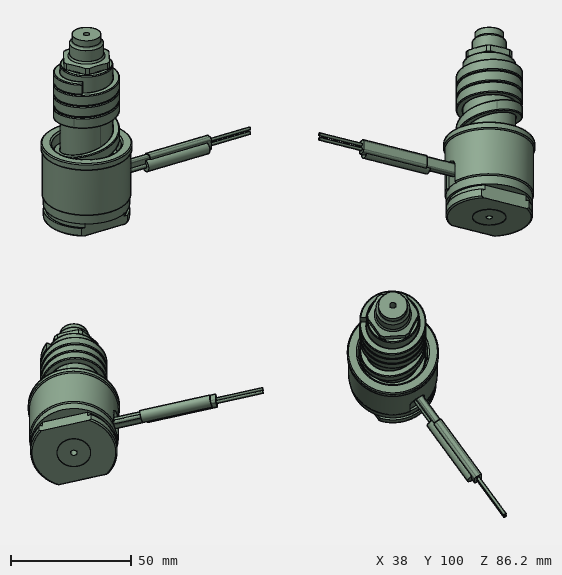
import cadquery as cq
import math

foot_bottom = 0.2
groove_bottom = 4.1
groove_top = 6.3
body_bottom = 10.3
flange_bottom = 31.8
flange_top = 35.1
shaft_top = 72.2
nut_bottom = 72.7
nut_top = 76.1
neck_bottom = 77.0
neck_top = 82.1
tip_bottom = 83.0
tip_top = 86.2

pad_radius = 7.0
foot_radius = 18.0
groove_radius = 17.1
body_radius = 18.5
flange_radius = 19.0
bore_radius = 14.5
shaft_radius = 11.0
relief_radius = 9.0
neck_radius = 7.1
collar_radius = 7.7
tip_radius = 6.0
hole_radius = 1.3

foot_chamfer = 0.6
flange_chamfer = 0.5
bore_chamfer = 0.7
shaft_chamfer = 0.4
tip_break = 0.3

cup_floor = 9.0
flat_half_width = 14.1
slot_half_width = 3.6
slot_top = 21.6
slot_floor = 17.0
lead_embed = 1.0

nut_across_flats = 19.0
nut_corner_radius = 10.5
nut_rim_drop = 0.6

spring_outer_radius = 13.8
spring_overlap = 0.1
wire_height = 5.0
wire_chamfer = 0.4
close_pitch = 5.3
open_pitch = 22.0
seam_direction = -54.6
seam_height = 51.1
close_sweep = 1094.6
transition_sweep = 140.0
open_sweep = 208.0
points_per_turn = 24

lead_x = -1.4
lead_z = 17.3
lead_flat_x = 1.7
lead_flat_z = 3.9
cable_round = 0.6
sleeve_round = 1.0
sleeve_start = 31.0
sleeve_length = 30.0
wire_end = 81.0
lead_wire_radius = 0.65
lead_wire_z = 17.2
lead_wire_spacing = 2.1
second_x = -0.1
second_z = 15.9
second_cable_radius = 1.0
second_sleeve_radius = 2.6
second_sleeve_start = 29.0


def revolve_outline(points):
    """Turn an outline of (radius, height) points about the Z axis."""
    return cq.Workplane("XZ").polyline(points).close().revolve(360, (0, 0), (0, 1))


def cylinder(radius, bottom, top):
    """Cylinder on the Z axis."""
    return cq.Workplane("XY").workplane(offset=bottom).circle(radius).extrude(top - bottom)


def make_cup():
    """Foot, groove, wide body and flange around an open bore."""
    return revolve_outline([
        (0, 0),
        (pad_radius, 0),
        (pad_radius, foot_bottom),
        (foot_radius - foot_chamfer, foot_bottom),
        (foot_radius, foot_bottom + foot_chamfer),
        (foot_radius, groove_bottom),
        (groove_radius, groove_bottom),
        (groove_radius, groove_top),
        (foot_radius, groove_top),
        (foot_radius, body_bottom),
        (body_radius, body_bottom + body_radius - foot_radius),
        (body_radius, flange_bottom),
        (flange_radius, flange_bottom + flange_radius - body_radius),
        (flange_radius, flange_top - flange_chamfer),
        (flange_radius - flange_chamfer, flange_top),
        (bore_radius + bore_chamfer, flange_top),
        (bore_radius, flange_top - bore_chamfer),
        (bore_radius, cup_floor),
        (0, cup_floor),
    ])


def cut_foot_flats(cup):
    """Mill a flat on the -X and +X sides of the foot."""
    depth = foot_radius - flat_half_width
    for side in (-1, 1):
        block = cq.Workplane("XY").box(depth, 2 * foot_radius, groove_top, centered=(True, True, False))
        cup = cup.cut(block.translate((side * (flat_half_width + depth / 2), 0, 0)))
    return cup


def cut_lead_slot(cup):
    """Round-topped slot in the +Y wall, open at the lower end of the wide body."""
    height = slot_top - body_bottom
    slot = (
        cq.Workplane("XZ", origin=(0, body_radius, body_bottom))
        .moveTo(-slot_half_width, 0)
        .lineTo(-slot_half_width, height - slot_half_width)
        .threePointArc((0, height), (slot_half_width, height - slot_half_width))
        .lineTo(slot_half_width, 0)
        .close()
        .extrude(body_radius - slot_floor)
    )
    ring = cylinder(body_radius, body_bottom, slot_top)
    return cup.cut(slot.intersect(ring))


def make_shaft():
    """Stepped shaft standing on the cup floor, from the spring seat up to the tip."""
    return revolve_outline([
        (0, cup_floor),
        (shaft_radius, cup_floor),
        (shaft_radius, shaft_top - shaft_chamfer),
        (shaft_radius - shaft_chamfer, shaft_top),
        (relief_radius, shaft_top),
        (relief_radius, nut_bottom),
        (collar_radius, nut_bottom),
        (collar_radius, nut_top),
        (neck_radius, neck_bottom),
        (neck_radius, neck_top),
        (tip_radius + tip_break, tip_bottom),
        (tip_radius, tip_bottom + tip_break),
        (tip_radius, tip_top),
        (0, tip_top),
    ])


def make_nut():
    """Hexagon with flats facing -X and +X, its corners turned round and its top coned."""
    across_corners = nut_across_flats / math.cos(math.pi / 6)
    hexagon = (
        cq.Workplane("XY", origin=(0, 0, nut_bottom))
        .transformed(rotate=(0, 0, 90))
        .polygon(6, across_corners)
        .extrude(nut_top - nut_bottom)
    )
    envelope = revolve_outline([
        (0, nut_bottom),
        (nut_corner_radius, nut_bottom),
        (nut_corner_radius, nut_top - nut_rim_drop),
        (collar_radius, nut_top),
        (0, nut_top),
    ])
    return hexagon.intersect(envelope)


def spring_height(angle):
    """Height of the wire centre; close, transition, open, transition and close parts downwards."""
    if angle >= 0:
        return seam_height + close_pitch * angle / 360
    down = min(-angle, transition_sweep)
    growth = (open_pitch - close_pitch) / transition_sweep
    height = seam_height - (close_pitch * down + growth * down ** 2 / 2) / 360
    down = min(max(-angle - transition_sweep, 0), open_sweep)
    height -= open_pitch * down / 360
    down = min(max(-angle - transition_sweep - open_sweep, 0), transition_sweep)
    height -= (open_pitch * down - growth * down ** 2 / 2) / 360
    down = max(-angle - 2 * transition_sweep - open_sweep, 0)
    return height - close_pitch * down / 360


def spring_edge(corner, top, sweep):
    """Curve traced by one corner (radius, rise) of the wire section down from the angle `top`."""
    radius, rise = corner

    def point(fraction):
        angle = top - sweep * fraction
        direction = math.radians(seam_direction + angle)
        return (radius * math.cos(direction), radius * math.sin(direction), spring_height(angle) + rise)

    count = math.ceil(sweep / 360 * points_per_turn)
    return cq.Workplane("XY").parametricCurve(point, N=count).val().Edges()[0]


def spring_end_face(corners, angle):
    """Upright end of the wire at one angle."""
    direction = math.radians(seam_direction + angle)
    points = [
        cq.Vector(radius * math.cos(direction), radius * math.sin(direction), spring_height(angle) + rise)
        for radius, rise in corners
    ]
    return cq.Face.makeFromWires(cq.Wire.makePolygon(points, close=True))


def make_spring():
    """Wire of upright section: strips between neighbouring corner curves, capped at both ends."""
    inner = shaft_radius - spring_overlap
    outer = spring_outer_radius
    half_height = wire_height / 2
    corners = [
        (inner, -half_height + wire_chamfer),
        (inner + wire_chamfer, -half_height),
        (outer - wire_chamfer, -half_height),
        (outer, -half_height + wire_chamfer),
        (outer, half_height - wire_chamfer),
        (outer - wire_chamfer, half_height),
        (inner + wire_chamfer, half_height),
        (inner, half_height - wire_chamfer),
    ]
    top = close_sweep
    faces = [spring_end_face(corners, top)]
    for sweep in (close_sweep, transition_sweep, open_sweep, transition_sweep, close_sweep):
        edges = [spring_edge(corner, top, sweep) for corner in corners]
        for edge, next_edge in zip(edges, edges[1:] + edges[:1]):
            faces.append(cq.Face.makeRuledSurface(edge, next_edge))
        top -= sweep
    faces.append(spring_end_face(corners, top))
    return cq.Workplane(cq.Solid.makeSolid(cq.Shell.makeShell(faces)))


def flat_bar(round_radius, start, end):
    """Bar along Y with rounded long edges outside the flats that cable and sleeve share."""
    width = lead_flat_x + 2 * round_radius
    height = lead_flat_z + 2 * round_radius
    return (
        cq.Workplane("XZ", origin=(lead_x, start, lead_z))
        .rect(width, height)
        .extrude(start - end)
        .edges("|Y")
        .fillet(round_radius)
    )


def round_bar(x, z, radius, start, end):
    """Round bar along Y."""
    return cq.Workplane("XZ", origin=(x, start, z)).circle(radius).extrude(start - end)


def make_leads():
    """Flat cable with its sleeve and two wires, and beside it a round cable with its sleeve."""
    root = slot_floor - lead_embed
    sleeve_end = sleeve_start + sleeve_length
    leads = flat_bar(cable_round, root, sleeve_start)
    leads = leads.union(flat_bar(sleeve_round, sleeve_start, sleeve_end))
    for side in (-1, 1):
        z = lead_wire_z + side * lead_wire_spacing / 2
        leads = leads.union(round_bar(lead_x, z, lead_wire_radius, sleeve_end, wire_end))
    second_end = second_sleeve_start + sleeve_length
    leads = leads.union(round_bar(second_x, second_z, second_cable_radius, root, second_sleeve_start))
    return leads.union(round_bar(second_x, second_z, second_sleeve_radius, second_sleeve_start, second_end))


result = cut_lead_slot(cut_foot_flats(make_cup())).union(make_shaft()).union(make_nut())
result = result.union(make_spring())
result = result.union(make_leads())
result = result.cut(cylinder(hole_radius, 0, tip_top))